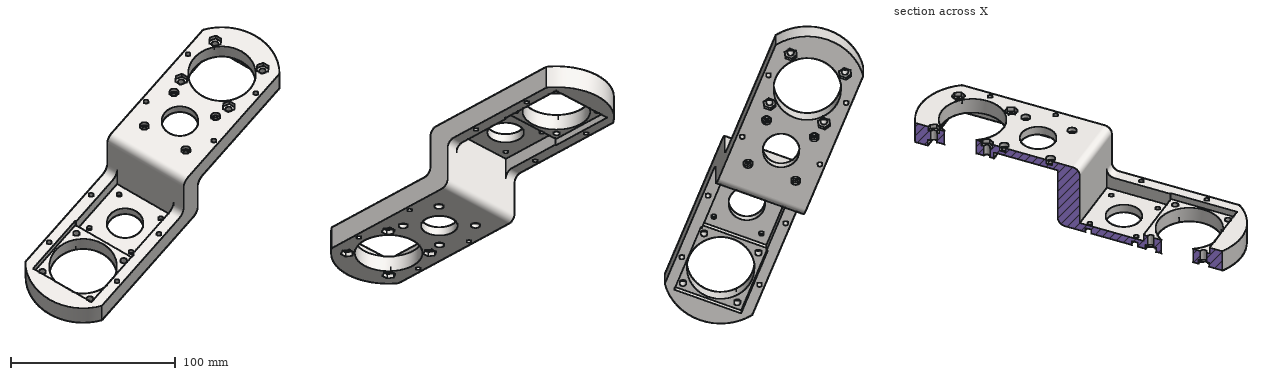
import cadquery as cq
import math


width = 57.0
height = 47.0
thickness = 15.0
bend_radius = 5.0
end_radius = 35.0

motor_pocket_width = 42.0
motor_pocket_length = 42.5
motor_pocket_depth = 9.0
motor_bore_diameter = 22.2
motor_screw_pitch = 31.0
motor_screw_diameter = 3.0
motor_screw_head_diameter = 5.6
motor_screw_head_depth = 3.0

bearing_pocket_width = 43.5
bearing_pocket_length = 44.2
bearing_pocket_depth = 4.5
bearing_bore_diameter = 41.0
bearing_bolt_circle = 50.0
bearing_bolt_diameter = 4.0
nut_across_flats = 7.0
nut_depth = 3.0

rim_hole_diameter = 3.0
rim_hole_x = 25.25

web_face = thickness / 2
motor_y = -28.65
bearing_y = -72.45
plate_bottom = -height / 2
plate_top = plate_bottom + thickness
end_y = bearing_y - end_radius
pocket_step_y = -web_face - motor_pocket_length


def make_body():
    """Extrude the Z-shaped side profile, round its bends and round both ends."""
    profile = [
        (end_y, plate_bottom),
        (web_face, plate_bottom),
        (web_face, -plate_top),
        (-end_y, -plate_top),
        (-end_y, -plate_bottom),
        (-web_face, -plate_bottom),
        (-web_face, plate_top),
        (end_y, plate_top),
    ]
    body = cq.Workplane("YZ").polyline(profile).close().extrude(width / 2, both=True)
    web_zone = (width, thickness, height)
    bends = cq.selectors.BoxSelector(tuple(-size for size in web_zone), web_zone)
    body = body.edges("|X").edges(bends).fillet(bend_radius)

    half_width = width / 2
    shoulder_y = bearing_y - math.sqrt(end_radius**2 - half_width**2)
    outline = (
        cq.Workplane("XY", origin=(0, 0, plate_bottom))
        .moveTo(-half_width, shoulder_y)
        .threePointArc((0, end_y), (half_width, shoulder_y))
        .lineTo(half_width, -shoulder_y)
        .threePointArc((0, -end_y), (-half_width, -shoulder_y))
        .close()
        .extrude(height)
    )
    return body.intersect(outline)


def underside():
    return cq.Workplane("XY", origin=(0, 0, plate_bottom))


def square_corners(pitch, center_y):
    """Corner points of a square of the given pitch centred at center_y."""
    half = pitch / 2
    return [(x, center_y + dy) for x in (-half, half) for dy in (-half, half)]


def pocket(pocket_width, near_y, far_y, depth):
    """Pocket open at the top; it also clears the bend fillet above the plate."""
    floor = plate_top - depth
    return (
        cq.Workplane("XY", origin=(0, (near_y + far_y) / 2, floor))
        .rect(pocket_width, near_y - far_y)
        .extrude(depth + bend_radius)
    )


def make_motor_cuts():
    points = square_corners(motor_screw_pitch, motor_y)
    recess = pocket(motor_pocket_width, -web_face, pocket_step_y, motor_pocket_depth)
    bore = underside().center(0, motor_y).circle(motor_bore_diameter / 2).extrude(thickness)
    screws = underside().pushPoints(points).circle(motor_screw_diameter / 2).extrude(thickness)
    heads = underside().pushPoints(points).circle(motor_screw_head_diameter / 2)
    heads = heads.extrude(motor_screw_head_depth)
    return [recess, bore, screws, heads]


def make_bearing_cuts():
    points = square_corners(bearing_bolt_circle / math.sqrt(2), bearing_y)
    far_y = pocket_step_y - bearing_pocket_length
    recess = pocket(bearing_pocket_width, pocket_step_y, far_y, bearing_pocket_depth)
    bore = underside().center(0, bearing_y).circle(bearing_bore_diameter / 2).extrude(thickness)
    bolts = underside().pushPoints(points).circle(bearing_bolt_diameter / 2).extrude(thickness)
    nut_across_corners = nut_across_flats / math.cos(math.pi / 6)
    nuts = underside().pushPoints(points).polygon(6, nut_across_corners).extrude(nut_depth)
    return [recess, bore, bolts, nuts]


def make_rim_holes():
    points = [(x, y) for x in (-rim_hole_x, rim_hole_x) for y in (motor_y, bearing_y)]
    return underside().pushPoints(points).circle(rim_hole_diameter / 2).extrude(thickness)


result = make_body()
for cut in make_motor_cuts() + make_bearing_cuts() + [make_rim_holes()]:
    result = result.cut(cut)
    result = result.cut(cut.rotate((0, 0, 0), (1, 0, 0), 180))